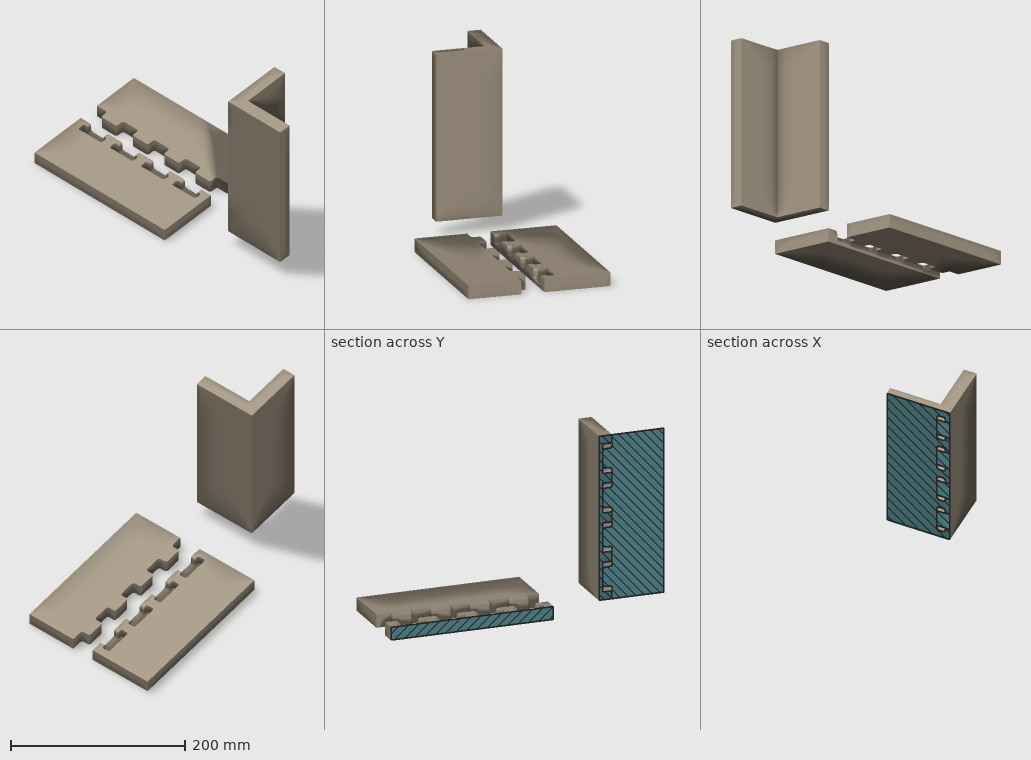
import cadquery as cq


board_length = 200.0
board_width = 80.0
board_thickness = 16.0

finger_count = 4
finger_pitch = 48.0
finger_width = 24.0
finger_length = 11.0
corner_radius = 3.0
blind_wall = board_thickness - finger_length

neck_length = 6.0
pocket_width = 36.0
pocket_length = board_thickness - neck_length
pocket_corner_radius = 2.7

finger_board_width = board_width - blind_wall
finger_board_body = finger_board_width - finger_length

flat_gap = 16.8
standing_x = 255.7
standing_y = 47.0
standing_z = board_thickness

finger_span = (finger_count - 1) * finger_pitch
first_finger_x = (board_length - finger_span) / 2
finger_positions = [first_finger_x + i * finger_pitch for i in range(finger_count)]


def finger_prism(plane, extrusion):
    """Finger pointing along the plane's -Y, with rounded tip corners and flared root corners."""
    half = finger_width / 2
    r = corner_radius
    return (
        cq.Workplane(plane)
        .moveTo(-half - r, 0)
        .radiusArc((-half, -r), r)
        .lineTo(-half, -finger_length + r)
        .radiusArc((-half + r, -finger_length), -r)
        .lineTo(half - r, -finger_length)
        .radiusArc((half, -finger_length + r), -r)
        .lineTo(half, -r)
        .radiusArc((half + r, 0), r)
        .close()
        .extrude(extrusion)
    )


def socket_cutter(x):
    """Neck entering from the +Y edge, then a pocket with rounded corners, both open at the top."""
    mouth = cq.Plane(origin=(x, board_width, board_thickness), xDir=(1, 0, 0), normal=(0, -1, 0))
    neck = finger_prism(mouth, neck_length)
    pocket_y = board_width - neck_length - pocket_length / 2
    pocket = (
        cq.Workplane("XY", origin=(x, pocket_y, blind_wall))
        .rect(pocket_width, pocket_length)
        .extrude(finger_length)
        .edges("|Z")
        .fillet(pocket_corner_radius)
    )
    return neck.union(pocket)


def make_socket_board():
    """Board with its length along X and its sockets in the +Y edge."""
    board = cq.Workplane("XY").box(board_length, board_width, board_thickness, centered=False)
    for x in finger_positions:
        board = board.cut(socket_cutter(x))
    return board


def make_finger_board():
    """Board with its length along X and its finger tips at Y = 0."""
    board = cq.Workplane("XY", origin=(0, finger_length, 0)).box(
        board_length, finger_board_body, board_thickness, centered=False
    )
    for x in finger_positions:
        root = cq.Plane(origin=(x, finger_length, 0), xDir=(1, 0, 0), normal=(0, 0, 1))
        board = board.union(finger_prism(root, board_thickness))
    return board


def place(board, plane):
    """Move a board from its own axes to the axes of the plane."""
    return board.solids().val().moved(cq.Location(plane))


socket_board = make_socket_board()
finger_board = make_finger_board()

flat_socket_plane = cq.Plane.XY()
flat_finger_plane = cq.Plane.XY(origin=(0, board_width + flat_gap, 0))

standing_socket_plane = cq.Plane(
    origin=(standing_x, standing_y + board_width, standing_z), xDir=(0, 0, 1), normal=(1, 0, 0)
)
standing_finger_plane = cq.Plane(
    origin=(standing_x + blind_wall, standing_y, standing_z), xDir=(0, 0, 1), normal=(0, 1, 0)
)

socket_boards = [place(socket_board, plane) for plane in (flat_socket_plane, standing_socket_plane)]
finger_boards = [place(finger_board, plane) for plane in (flat_finger_plane, standing_finger_plane)]

result = cq.Compound.makeCompound([*socket_boards, *finger_boards])